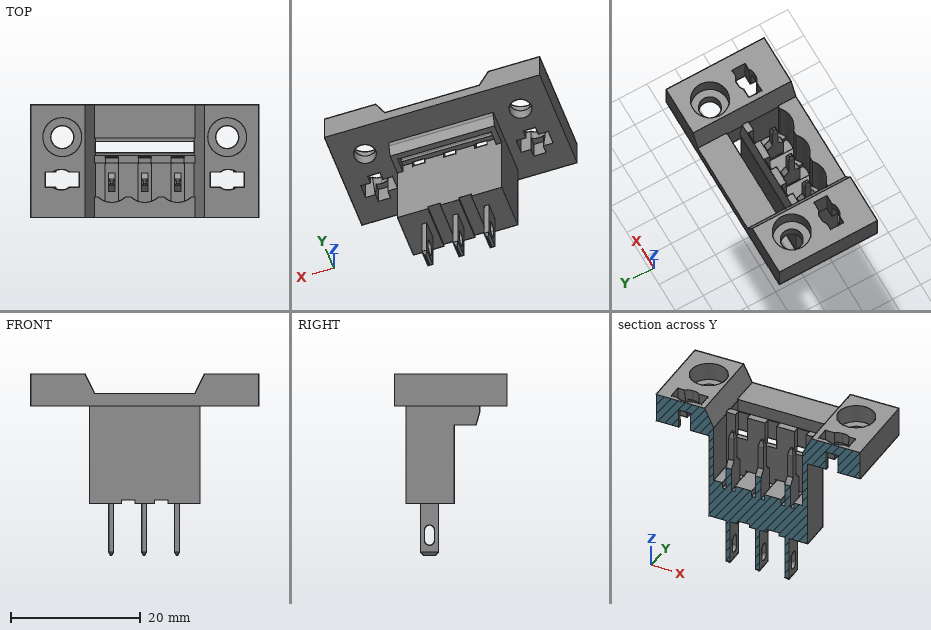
import cadquery as cq
import math


flange_length = 35.16
flange_width = 17.4
flange_height = 5.0
valley_floor_z = 2.0
valley_floor_length = 15.44
valley_top_length = 18.38

mount_x = 12.7
screw_y = 3.7
screw_diameter = 3.5
counterbore_diameter = 6.0
counterbore_depth = 3.0
key_slot_y = -2.85
key_slot_length = 5.2
key_slot_width = 2.3
key_bore_diameter = 3.1
key_lean = 0.45
key_recess_length = 2.0
key_recess_width = 4.95
key_recess_depth = 3.2

contact_pitch = 5.08
contact_xs = [-contact_pitch, 0.0, contact_pitch]
contact_y = -3.27
blade_width = 2.84
pin_side = 1.0
tail_thickness = 0.8
tail_x = (tail_thickness - pin_side) / 2
tail_length = 8.0
tail_tip_height = 0.55
tail_tip_inset_y = 0.52
tail_tip_inset_x = 0.33
eye_width = 1.5
eye_length = 3.08
eye_above_tip = 1.6
pin_top_z = 1.0
pin_taper_height = 1.0
pin_top_side = 0.4
shoulder_top_z = -4.0
shoulder_drop = 1.0

body_length = 17.04
body_depth = 15.0
body_front_y = -6.9
body_back_y = 0.55
shelf_back_y = 4.48
shelf_depth = 2.9
shelf_straight_depth = 0.9
shelf_slope_inset = 0.57
notch_width = 2.03
notch_height = 0.55

pocket_length = 15.24
pocket_front_y = -5.53
pocket_back_y = -0.28
scallop_radius = 3.08
pocket_floor_z = -8.0
channel_width = 2.12
channel_floor_z = -9.0

latch_wall_top_back_y = 0.85
latch_hook_back_y = 1.32
latch_hook_bottom_z = -1.33
latch_hook_lip_height = 0.6
latch_slot_width = 2.0
latch_slot_back_y = 0.68
latch_slot_bottom_z = -2.15
window_back_y = 3.57
ledge_front_y = 3.0
ledge_z = -2.0


def block(x_range, y_range, z_range):
    """Axis-aligned box between the given limits."""
    (x0, x1), (y0, y1), (z0, z1) = x_range, y_range, z_range
    return cq.Workplane("XY").box(x1 - x0, y1 - y0, z1 - z0, centered=False).translate((x0, y0, z0))


def centred_block(length, y_range, z_range, x=0.0):
    """Axis-aligned box centred on x."""
    return block((x - length / 2, x + length / 2), y_range, z_range)


def extrude_along_x(points, length):
    """Closed YZ outline extruded symmetrically about X = 0."""
    return cq.Workplane("YZ").polyline(points).close().extrude(length / 2, both=True)


def make_flange():
    """Flange bar with a sloped-sided valley across its middle."""
    valley_half_floor = valley_floor_length / 2
    valley_half_top = valley_top_length / 2
    half_length = flange_length / 2
    outline = [
        (-half_length, 0),
        (half_length, 0),
        (half_length, flange_height),
        (valley_half_top, flange_height),
        (valley_half_floor, valley_floor_z),
        (-valley_half_floor, valley_floor_z),
        (-valley_half_top, flange_height),
        (-half_length, flange_height),
    ]
    return cq.Workplane("XZ").polyline(outline).close().extrude(flange_width / 2, both=True)


def key_opening(side):
    """Key slot with an upright bore, an outward-leaning bore and a cross recess below."""
    slot = cq.Workplane("XY").rect(key_slot_length, key_slot_width).extrude(flange_height)
    recess = cq.Workplane("XY").rect(key_recess_length, key_recess_width).extrude(key_recess_depth)
    bore_radius = key_bore_diameter / 2
    upright_bore = cq.Workplane("XY").circle(bore_radius).extrude(flange_height)
    lean_angle = math.degrees(math.atan2(key_lean, flange_height))
    leaning_bore = (
        cq.Workplane("XY").circle(bore_radius).extrude(2 * flange_height, both=True)
        .rotate((0, 0, 0), (0, 1, 0), side * lean_angle)
        .intersect(centred_block(flange_width, (-bore_radius, bore_radius), (0, flange_height)))
    )
    opening = slot.union(recess).union(upright_bore).union(leaning_bore)
    return opening.translate((side * mount_x, key_slot_y, 0))


def cut_mounting_holes(part):
    """Counterbored screw hole and key opening at both ends."""
    for side in (-1, 1):
        part = (
            part.faces(">Z").workplane(origin=(side * mount_x, screw_y, flange_height))
            .cboreHole(screw_diameter, counterbore_diameter, counterbore_depth)
            .cut(key_opening(side))
        )
    return part


def make_body():
    """Deep contact block with a shallow shelf behind it."""
    outline = [
        (body_front_y, 0),
        (body_front_y, -body_depth),
        (body_back_y, -body_depth),
        (body_back_y, -shelf_depth),
        (shelf_back_y - shelf_slope_inset, -shelf_depth),
        (shelf_back_y, -shelf_straight_depth),
        (shelf_back_y, 0),
    ]
    body = extrude_along_x(outline, body_length)
    for side in (-1, 1):
        notch = centred_block(
            notch_width,
            (body_front_y, body_back_y),
            (-body_depth, -body_depth + notch_height),
            side * contact_pitch / 2,
        )
        body = body.cut(notch)
    return body


def make_entry_flare(y_range):
    """Downward continuation of the valley slopes, from the valley floor to the pocket side walls."""
    front_y, back_y = y_range
    slope_inset = (valley_floor_length - pocket_length) / 2
    slope_run = (valley_top_length - valley_floor_length) / 2
    drop = slope_inset * (flange_height - valley_floor_z) / slope_run
    half_top = valley_floor_length / 2
    half_bottom = pocket_length / 2
    outline = [
        (-half_top, valley_floor_z),
        (half_top, valley_floor_z),
        (half_bottom, valley_floor_z - drop),
        (-half_bottom, valley_floor_z - drop),
    ]
    return cq.Workplane("XZ", origin=(0, back_y, 0)).polyline(outline).close().extrude(back_y - front_y)


def make_pocket():
    """Plug cavity: scalloped front wall, and a deeper channel at each contact."""
    pocket_height = valley_floor_z - pocket_floor_z
    scallop_front_y = contact_y - scallop_radius
    bounds = centred_block(pocket_length, (scallop_front_y, pocket_back_y), (channel_floor_z, valley_floor_z))
    pocket = centred_block(pocket_length, (pocket_front_y, pocket_back_y), (pocket_floor_z, valley_floor_z))
    for x in contact_xs:
        scallop = cq.Workplane("XY").circle(scallop_radius).extrude(pocket_height)
        channel = centred_block(
            channel_width,
            (-scallop_radius, scallop_radius),
            (channel_floor_z - pocket_floor_z, 0),
        ).intersect(scallop.mirror("XY"))
        pocket = pocket.union(scallop.union(channel).translate((x, contact_y, pocket_floor_z)))
    flare = make_entry_flare((pocket_front_y, pocket_back_y))
    return pocket.intersect(bounds).union(flare)


def make_latch_window():
    """Opening behind the latch wall, with a ledge along its back edge."""
    opening = centred_block(pocket_length, (body_back_y, ledge_front_y), (-shelf_depth, valley_floor_z))
    step = centred_block(pocket_length, (ledge_front_y, window_back_y), (ledge_z, valley_floor_z))
    flare = make_entry_flare((latch_wall_top_back_y, window_back_y))
    return opening.union(step).union(flare)


def make_latch_hook():
    """Hook along the back of the latch wall, thickening downward."""
    outline = [
        (body_back_y, valley_floor_z),
        (latch_wall_top_back_y, valley_floor_z),
        (latch_hook_back_y, latch_hook_bottom_z + latch_hook_lip_height),
        (latch_hook_back_y, latch_hook_bottom_z),
        (body_back_y, latch_hook_bottom_z),
    ]
    return extrude_along_x(outline, pocket_length)


def cut_latch_slots(part):
    """Slots in the latch wall that stop short of the back of the hook."""
    for x in contact_xs:
        slot = centred_block(
            latch_slot_width,
            (pocket_back_y, latch_slot_back_y),
            (latch_slot_bottom_z, valley_floor_z),
            x,
        )
        part = part.cut(slot)
    return part


def make_contact():
    """Contact centred on the Z axis: eyed solder tail, gabled blade, square pin."""
    tail_bottom_z = -body_depth - tail_length
    tip_top_z = tail_bottom_z + tail_tip_height
    tail_top_z = -body_depth
    half_width = blade_width / 2
    pin_half = pin_side / 2
    pin_taper_z = pin_top_z - pin_taper_height

    tail = centred_block(tail_thickness, (-half_width, half_width), (tip_top_z, tail_top_z))
    tip = (
        cq.Workplane("XY", origin=(0, 0, tip_top_z)).rect(tail_thickness, blade_width)
        .workplane(offset=-tail_tip_height)
        .rect(tail_thickness - 2 * tail_tip_inset_x, blade_width - 2 * tail_tip_inset_y)
        .loft(ruled=True)
    )
    eye_z = tail_bottom_z + eye_above_tip + eye_length / 2
    eye = (
        cq.Workplane("YZ", origin=(0, 0, eye_z)).slot2D(eye_length, eye_width, 90)
        .extrude(tail_thickness, both=True)
    )
    blade_outline = [
        (-half_width, tail_top_z),
        (half_width, tail_top_z),
        (half_width, shoulder_top_z - shoulder_drop),
        (pin_half, shoulder_top_z),
        (-pin_half, shoulder_top_z),
        (-half_width, shoulder_top_z - shoulder_drop),
    ]
    blade = extrude_along_x(blade_outline, pin_side)
    pin = centred_block(pin_side, (-pin_half, pin_half), (shoulder_top_z, pin_taper_z))
    pin_tip = (
        cq.Workplane("XY", origin=(0, 0, pin_taper_z)).rect(pin_side, pin_side)
        .workplane(offset=pin_taper_height).rect(pin_top_side, pin_top_side)
        .loft(ruled=True)
    )
    tail = tail.union(tip).cut(eye).translate((tail_x, 0, 0))
    return tail.union(blade).union(pin).union(pin_tip)


housing = make_flange().union(make_body())
housing = cut_mounting_holes(housing)
housing = housing.cut(make_pocket()).cut(make_latch_window())
housing = cut_latch_slots(housing.union(make_latch_hook()))

contact = make_contact()
for contact_x in contact_xs:
    housing = housing.union(contact.translate((contact_x, contact_y, 0)))

result = housing